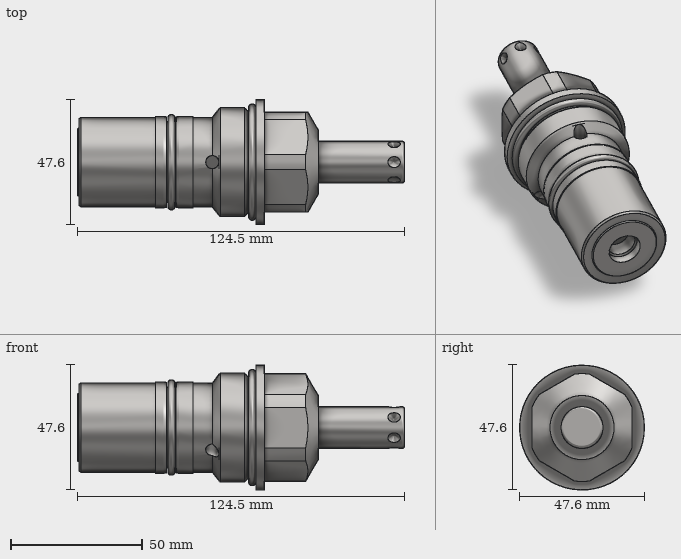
import cadquery as cq
import math

TOTAL_LENGTH = 124.5
FACE_BOSS_HEIGHT = 0.5
LAND_START = 29.6
SMALL_RING_X = 35.7
LAND_END = 44.0
CONE_START = 51.3
CONE_END = 53.8
COLLAR_START = 54.4
COLLAR_END = 63.5
LARGE_RING_X = 66.5
FLANGE_START = 67.9
FLANGE_END = 71.1
NUT_END = 91.6

FACE_BOSS_RADIUS = 13.1
FACE_BOSS_TAPER = 0.4
BARREL_RADIUS = 17.0
LAND_RADIUS = 17.4
CONE_END_RADIUS = 20.2
COLLAR_RADIUS = 20.8
FLANGE_RADIUS = 23.8
ROD_RADIUS = 8.0

BARREL_CHAMFER_LENGTH = 0.7
BARREL_CHAMFER_DEPTH = 0.6
COLLAR_BEVEL_LENGTH = 1.4
ROD_TIP_FILLET = 1.0

HEX_SIDES = 6
NUT_ACROSS_FLATS = 38.1
NUT_CORNER_RADIUS = 20.5
NUT_TIP_RADIUS = 12.2
NUT_CONE_ANGLE = 30.0

SMALL_RING_OUTER_RADIUS = 18.2
SMALL_RING_SECTION_RADIUS = 1.4
SMALL_GROOVE_WIDTH = 3.6
SMALL_GROOVE_CHAMFER_LENGTH = 1.1
SMALL_GROOVE_CHAMFER_DEPTH = 0.2
LARGE_RING_OUTER_RADIUS = 22.2
LARGE_RING_SECTION_RADIUS = 1.4

BORE_MOUTH_RADIUS = 6.2
BORE_MOUTH_DEPTH = 3.6
BORE_STEP_LENGTH = 0.5
BORE_STEP_RADIUS = 5.5
BORE_FLOOR_RADIUS = 5.1
BORE_DEPTH = 10.0

PORT_COUNT = 3
PORT_RADIUS = 2.5
PORT_FLOOR_RADIUS = 7.5

DIMPLE_COUNT = 6
DIMPLE_RADIUS = 2.4
DIMPLE_DEPTH = DIMPLE_RADIUS
DIMPLE_X = 120.5


def revolve_about_x(points):
    """Turn a closed (x, radius) outline about the X axis."""
    return cq.Workplane("XY").polyline(points).close().revolve(360, (0, 0, 0), (1, 0, 0))


def make_turned_body():
    """Barrel, ring grooves, collar, flange and rod as one turned shape."""
    small_floor = SMALL_RING_OUTER_RADIUS - 2 * SMALL_RING_SECTION_RADIUS
    large_floor = LARGE_RING_OUTER_RADIUS - 2 * LARGE_RING_SECTION_RADIUS
    groove_left = SMALL_RING_X - SMALL_GROOVE_WIDTH / 2
    groove_right = SMALL_RING_X + SMALL_GROOVE_WIDTH / 2
    barrel_face = FACE_BOSS_HEIGHT
    return revolve_about_x([
        (0, 0),
        (0, FACE_BOSS_RADIUS - FACE_BOSS_TAPER),
        (barrel_face, FACE_BOSS_RADIUS),
        (barrel_face, BARREL_RADIUS - BARREL_CHAMFER_DEPTH),
        (barrel_face + BARREL_CHAMFER_LENGTH, BARREL_RADIUS),
        (LAND_START, BARREL_RADIUS),
        (LAND_START, LAND_RADIUS),
        (groove_left - SMALL_GROOVE_CHAMFER_LENGTH, LAND_RADIUS),
        (groove_left, LAND_RADIUS - SMALL_GROOVE_CHAMFER_DEPTH),
        (groove_left, small_floor),
        (groove_right, small_floor),
        (groove_right, LAND_RADIUS - SMALL_GROOVE_CHAMFER_DEPTH),
        (groove_right + SMALL_GROOVE_CHAMFER_LENGTH, LAND_RADIUS),
        (LAND_END, LAND_RADIUS),
        (LAND_END, BARREL_RADIUS),
        (CONE_START, BARREL_RADIUS),
        (CONE_END, CONE_END_RADIUS),
        (COLLAR_START, COLLAR_RADIUS),
        (COLLAR_END, COLLAR_RADIUS),
        (COLLAR_END + COLLAR_BEVEL_LENGTH, large_floor),
        (FLANGE_START, large_floor),
        (FLANGE_START, FLANGE_RADIUS),
        (FLANGE_END, FLANGE_RADIUS),
        (FLANGE_END, ROD_RADIUS),
        (TOTAL_LENGTH, ROD_RADIUS),
        (TOTAL_LENGTH, 0),
    ]).faces(">X").edges().fillet(ROD_TIP_FILLET)


def make_nut():
    """Hexagon with corners turned round and a conical end."""
    cone_length = (NUT_CORNER_RADIUS - NUT_TIP_RADIUS) * math.tan(math.radians(NUT_CONE_ANGLE))
    envelope = revolve_about_x([
        (FLANGE_END, 0),
        (FLANGE_END, NUT_CORNER_RADIUS),
        (NUT_END - cone_length, NUT_CORNER_RADIUS),
        (NUT_END, NUT_TIP_RADIUS),
        (NUT_END, 0),
    ])
    hex_half_angle = math.pi / HEX_SIDES
    across_corners = NUT_ACROSS_FLATS / math.cos(hex_half_angle)
    hexagon = (
        cq.Workplane("YZ", origin=(FLANGE_END, 0, 0))
        .transformed(rotate=(0, 0, 90))
        .polygon(HEX_SIDES, across_corners)
        .extrude(NUT_END - FLANGE_END)
    )
    return hexagon.intersect(envelope)


def make_bore():
    """Plain mouth, short conical step, then a slight taper down to a flat floor."""
    return revolve_about_x([
        (0, 0),
        (0, BORE_MOUTH_RADIUS),
        (BORE_MOUTH_DEPTH, BORE_MOUTH_RADIUS),
        (BORE_MOUTH_DEPTH + BORE_STEP_LENGTH, BORE_STEP_RADIUS),
        (BORE_DEPTH, BORE_FLOOR_RADIUS),
        (BORE_DEPTH, 0),
    ])


def repeat_about_x(tool, count):
    """Copies of a tool spaced evenly about the X axis."""
    return [tool.rotate((0, 0, 0), (1, 0, 0), i * 360 / count) for i in range(count)]


def make_port_drill():
    """Cylinder along +Z from the port floor out past the collar."""
    drill_length = FLANGE_RADIUS - PORT_FLOOR_RADIUS
    return (
        cq.Workplane("XY", origin=(CONE_START, 0, PORT_FLOOR_RADIUS))
        .circle(PORT_RADIUS)
        .extrude(drill_length)
    )


def make_dimple_cone():
    """Cone with its point inside the rod, twice the dimple depth so that it clears the surface."""
    point = cq.Vector(DIMPLE_X, 0, ROD_RADIUS - DIMPLE_DEPTH)
    outward = cq.Vector(0, 0, 1)
    return cq.Workplane(cq.Solid.makeCone(0, 2 * DIMPLE_RADIUS, 2 * DIMPLE_DEPTH, point, outward))


def make_housing():
    """The turned body and nut with the bore, ports and dimples cut out."""
    housing = make_turned_body().union(make_nut()).cut(make_bore())
    ports = repeat_about_x(make_port_drill(), PORT_COUNT)
    dimples = repeat_about_x(make_dimple_cone(), DIMPLE_COUNT)
    for tool in ports + dimples:
        housing = housing.cut(tool)
    return housing


def make_o_ring(x, outer_radius, section_radius):
    """Torus about the X axis."""
    ring = cq.Solid.makeTorus(
        outer_radius - section_radius, section_radius, cq.Vector(x, 0, 0), cq.Vector(1, 0, 0)
    )
    return cq.Workplane(ring)


housing = make_housing()
small_o_ring = make_o_ring(SMALL_RING_X, SMALL_RING_OUTER_RADIUS, SMALL_RING_SECTION_RADIUS)
large_o_ring = make_o_ring(LARGE_RING_X, LARGE_RING_OUTER_RADIUS, LARGE_RING_SECTION_RADIUS)

result = cq.Compound.makeCompound([housing.val(), small_o_ring.val(), large_o_ring.val()])